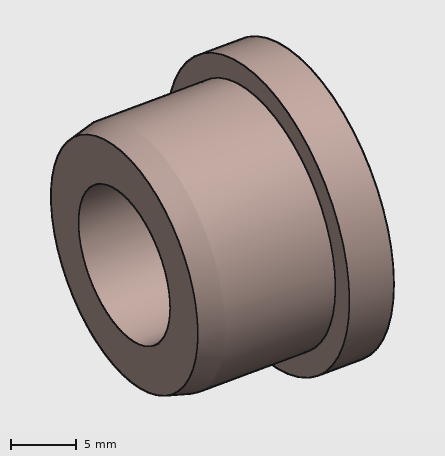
import cadquery as cq

flange_diameter = 26.0
flange_thickness = 4.0
body_diameter = 22.0
bore_diameter = flange_diameter / 2
total_length = 16.0
lead_in_length = 2.1
lead_in_depth = 0.55

flange_radius = flange_diameter / 2
body_radius = body_diameter / 2
bore_radius = bore_diameter / 2
tip_radius = body_radius - lead_in_depth
shoulder_y = total_length - flange_thickness

half_section = [
    (bore_radius, 0),
    (tip_radius, 0),
    (body_radius, lead_in_length),
    (body_radius, shoulder_y),
    (flange_radius, shoulder_y),
    (flange_radius, total_length),
    (bore_radius, total_length),
]

result = (
    cq.Workplane("XY")
    .polyline(half_section)
    .close()
    .revolve(360, (0, 0, 0), (0, 1, 0))
)